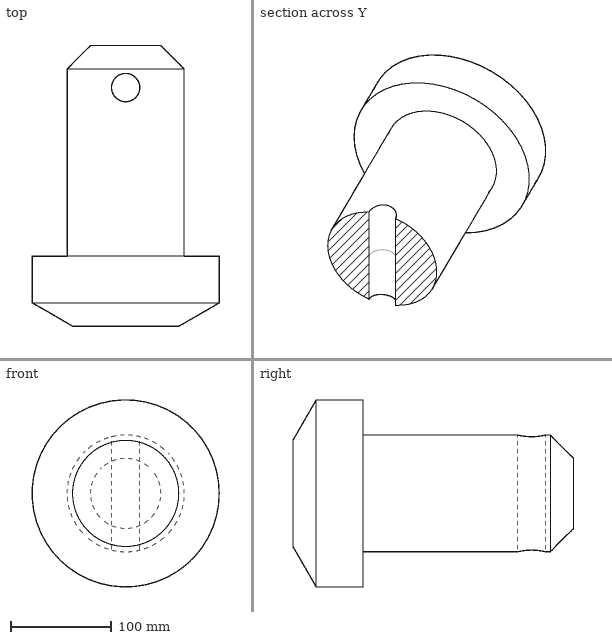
import cadquery as cq
import math

head_diameter = 186.62
total_length = 279.93

unit = head_diameter / 8
shank_diameter = 5 * unit
rim_length = 2 * unit
chamfer_length = unit
head_chamfer_angle = 60
tip_chamfer_angle = 45

cross_hole_diameter = 28.0
cross_hole_from_tip = 42.0


def pin_body():
    """Headed pin, revolved from its half profile around the Y axis."""
    head_radius = head_diameter / 2
    shank_radius = shank_diameter / 2
    face_radius = head_radius - chamfer_length * math.tan(math.radians(head_chamfer_angle))
    tip_radius = shank_radius - chamfer_length * math.tan(math.radians(tip_chamfer_angle))
    head_length = chamfer_length + rim_length

    profile = (
        cq.Workplane("XY")
        .lineTo(face_radius, 0)
        .lineTo(head_radius, chamfer_length)
        .lineTo(head_radius, head_length)
        .lineTo(shank_radius, head_length)
        .lineTo(shank_radius, total_length - chamfer_length)
        .lineTo(tip_radius, total_length)
        .lineTo(0, total_length)
        .close()
    )
    return profile.revolve(360, (0, 0), (0, 1))


def cross_hole():
    """Cutter for the round hole that passes right through the shank."""
    return (
        cq.Workplane("XY")
        .center(0, total_length - cross_hole_from_tip)
        .circle(cross_hole_diameter / 2)
        .extrude(shank_diameter / 2, both=True)
    )


result = pin_body().cut(cross_hole())